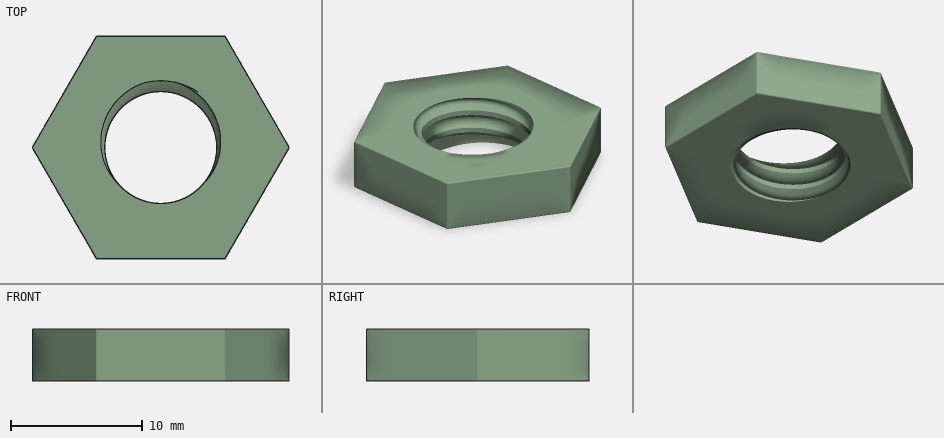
import cadquery as cq
import math

across_flats = 17.0
across_corners = across_flats / math.cos(math.radians(30))
thickness = 4.0
edge_radius = 0.1

minor_diameter = 8.53
major_diameter = 10.2
pitch = 1.5
flank_half_angle = 30.0
root_flat = pitch / 12
root_direction = 90
radial_overlap = 0.15
extra_turns = 1


def hexagonal_body():
    """Hexagonal plate with corners on X and lightly rounded edges."""
    plate = cq.Workplane("XY").polygon(6, across_corners).extrude(thickness)
    return plate.edges("|Z or >Z or <Z").fillet(edge_radius)


def thread_cutter():
    """Helical groove cutter that starts below the bottom face and ends above the top face."""
    inner_radius = minor_diameter / 2 - radial_overlap
    outer_radius = major_diameter / 2
    groove_depth = outer_radius - inner_radius
    half_root = root_flat / 2
    half_mouth = half_root + groove_depth * math.tan(math.radians(flank_half_angle))
    turns = math.ceil(thickness / pitch) + 2 * extra_turns
    start_height = thickness - (turns - extra_turns) * pitch
    helix = cq.Wire.makeHelix(pitch, turns * pitch, inner_radius)
    groove = (
        cq.Workplane("XZ")
        .moveTo(inner_radius, -half_mouth)
        .lineTo(outer_radius, -half_root)
        .lineTo(outer_radius, half_root)
        .lineTo(inner_radius, half_mouth)
        .close()
        .sweep(cq.Workplane(obj=helix), isFrenet=True)
    )
    return groove.rotate((0, 0, 0), (0, 0, 1), root_direction).translate((0, 0, start_height))


def tapped_nut():
    """Hexagonal plate with a threaded through hole."""
    bore = cq.Workplane("XY").circle(minor_diameter / 2).extrude(thickness)
    return hexagonal_body().cut(bore).cut(thread_cutter())


result = tapped_nut()